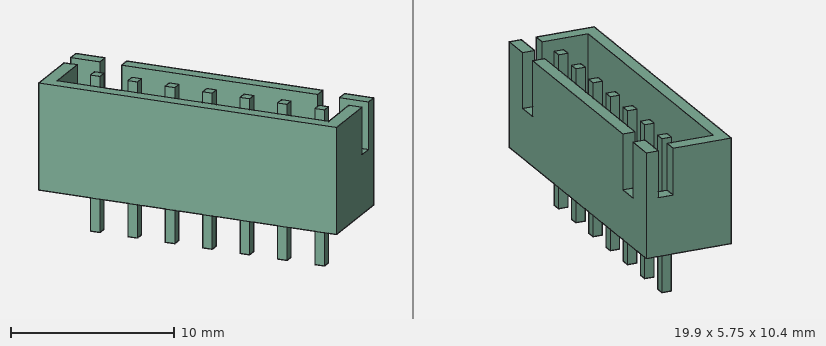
import cadquery as cq

pin_count = 7
pin_pitch = 2.5
row_to_housing_end = 2.45
housing_length = (pin_count - 1) * pin_pitch + 2 * row_to_housing_end
housing_width = 5.75
housing_height = 7.0
back_face_y = 2.37
front_face_y = back_face_y - housing_width

wall = 0.82
end_wall = 0.88
floor_thickness = 1.5

end_slot_width = 1.0
end_slot_depth = 3.1

notch_width = 1.45
notch_depth = 3.7
notch_offset = 1.95

pin_size = 0.64
pin_tail = 3.4
pin_top = 6.8


def block(x_start, x_end, y_start, y_end, z_start, z_end):
    """Axis-aligned box between the given limits."""
    size = (x_end - x_start, y_end - y_start, z_end - z_start)
    return cq.Workplane("XY").box(*size, centered=False).translate((x_start, y_start, z_start))


def make_housing():
    """Open-topped box with a flat floor."""
    half = housing_length / 2
    shell = block(-half, half, front_face_y, back_face_y, 0, housing_height)
    inner_half = half - end_wall
    cavity = block(
        -inner_half, inner_half,
        front_face_y + wall, back_face_y - wall,
        floor_thickness, housing_height,
    )
    return shell.cut(cavity)


def cut_end_slots(body):
    """One cut along the whole length opens the slots in both end walls."""
    half = housing_length / 2
    slot_back_y = back_face_y - wall
    slot_floor = housing_height - end_slot_depth
    return body.cut(
        block(-half, half, slot_back_y - end_slot_width, slot_back_y, slot_floor, housing_height)
    )


def cut_back_notches(body):
    """Two mirrored notches in the back wall."""
    outer = housing_length / 2 - notch_offset
    inner = outer - notch_width
    notch_floor = housing_height - notch_depth
    for x_start, x_end in ((-outer, -inner), (inner, outer)):
        body = body.cut(
            block(x_start, x_end, back_face_y - wall, back_face_y, notch_floor, housing_height)
        )
    return body


def add_pins(body):
    """Row of square pins running through the floor."""
    half = pin_size / 2
    first_x = -(pin_count - 1) * pin_pitch / 2
    for index in range(pin_count):
        x = first_x + index * pin_pitch
        body = body.union(block(x - half, x + half, -half, half, -pin_tail, pin_top))
    return body


result = add_pins(cut_back_notches(cut_end_slots(make_housing())))